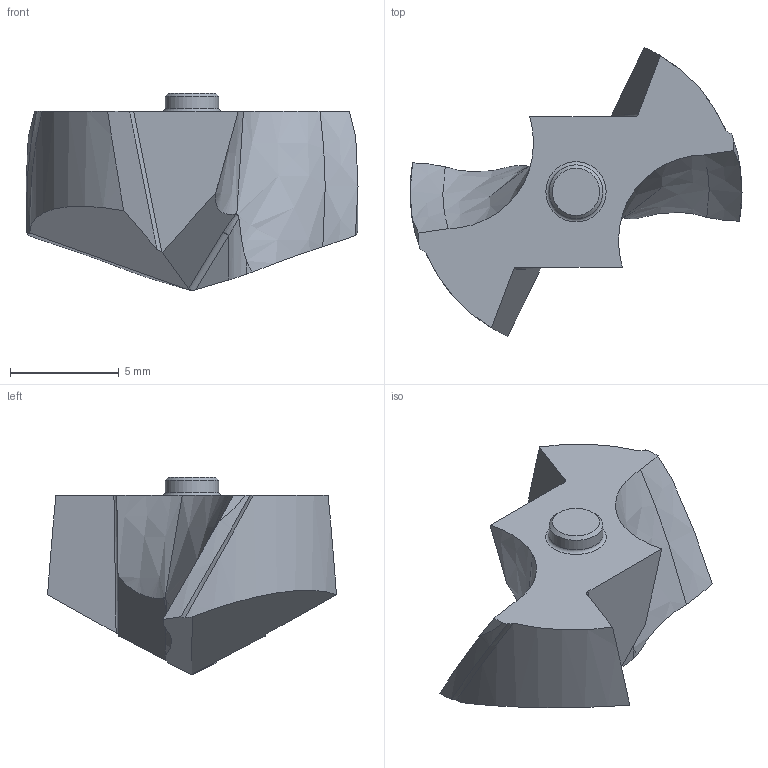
import math

import cadquery as cq


cutting_radius = 7.65
relief_radius = 7.28
relief_offset = 0.20
body_depth = 8.28
overshoot = 1.0
cutter_size = 40.0
core_half_width = 3.467

helix_angle = 30.0
twist_per_mm = math.degrees(math.tan(math.radians(helix_angle)) / cutting_radius)

pin_radius = 1.24
pin_height = 0.84
pin_chamfer = 0.15
pin_fillet = 0.15

point_slope = math.tan(math.radians(19.7))
primary_relief_slope = math.tan(math.radians(6.0))
secondary_relief_slope = 0.386

rake_lip_end = (9.0, 2.40)
rake_lip_middle = (7.25, 1.90)
rake_turn = (5.90, 1.70)
flute_shoulder = (3.25, 0.67)
flute_blend = (2.37, -0.45)
flute_core = (1.96, -2.36)
flute_corner = (2.13, -core_half_width)
flute_tail = (2.60, -4.60)

margin_start_angle = 8.0
margin_end_angle = 20.4
margin_step_angle = 22.6
margin_hollow_radius = 7.52
margin_root_radius = 7.44

corner_x = 7.25
corner_slope = 0.25

core_taper = math.radians(0.9)
heel_root = (-2.83, -core_half_width, 0.0)
heel_outer_top = (-3.89, -6.27, 0.0)
heel_outer_bottom = (-3.16, -6.67, -4.56)
heel_fillet = 0.2

gash_normal = (0.62, -0.53, -0.57)
gash_corner = (1.08, -3.33, -3.86)
gash_rake_start = (0.10, -0.05)
gash_rake_end = (1.70, -1.00)
gash_round_radius = 1.6
gash_outer_x = 4.0
gash_inner_reach = 6.0
gash_side_y = -10.0
gash_fillet = 0.25
gash_root = (0.80, -0.45, -7.0)


def half_space(point, normal):
    """Block filling the side of a plane its normal points to."""
    plane = cq.Plane(origin=point, normal=normal)
    return cq.Workplane(plane).rect(cutter_size, cutter_size).extrude(cutter_size)


def half_turn(shape):
    return shape.rotate((0, 0, 0), (0, 0, 1), 180)


def polar(radius, angle):
    a = math.radians(angle)
    return (radius * math.cos(a), radius * math.sin(a))


def cross(a, b):
    return (
        a[1] * b[2] - a[2] * b[1],
        a[2] * b[0] - a[0] * b[2],
        a[0] * b[1] - a[1] * b[0],
    )


def difference(a, b):
    return tuple(p - q for p, q in zip(a, b))


def helical(outline, top):
    """Twist an outline, given on Z = 0, from below the point up to Z = top."""
    below = body_depth + overshoot
    length = below + top
    solid = outline.twistExtrude(length, twist_per_mm * length)
    start_angle = -twist_per_mm * below
    return solid.rotate((0, 0, 0), (0, 0, 1), start_angle).translate((0, 0, -below))


def make_margin():
    """Helical sector reaching the cutting radius, with a hollow step behind it."""
    step_start = polar(cutting_radius, margin_end_angle)
    step_middle = polar(margin_hollow_radius, (margin_end_angle + margin_step_angle) / 2)
    step_end = polar(margin_root_radius, margin_step_angle)
    outline = (
        cq.Workplane("XY")
        .lineTo(*polar(cutting_radius, margin_start_angle))
        .threePointArc(
            polar(cutting_radius, (margin_start_angle + margin_end_angle) / 2), step_start
        )
        .threePointArc(step_middle, step_end)
        .close()
    )
    return helical(outline, 0)


def make_flute():
    """Cutter for the helical flute in front of the +X wing."""
    outline = (
        cq.Workplane("XY")
        .moveTo(*rake_lip_end)
        .threePointArc(rake_lip_middle, rake_turn)
        .threePointArc(flute_shoulder, flute_blend)
        .threePointArc(flute_core, flute_corner)
        .lineTo(*flute_tail)
        .lineTo(rake_lip_end[0], flute_tail[1])
        .close()
    )
    return helical(outline, overshoot)


def make_notch():
    """Cutter between the tapered core flat and the flat heel of the -X wing."""
    heel_normal = cross(
        difference(heel_outer_top, heel_root), difference(heel_outer_bottom, heel_root)
    )
    notch = half_space(heel_root, heel_normal).intersect(
        half_space(heel_root, (0, -math.cos(core_taper), -math.sin(core_taper)))
    )
    return notch.edges(cq.NearestToPointSelector(heel_root)).fillet(heel_fillet)


def make_gash():
    """Cutter with a sloping floor and an upright rake wall rounded into the flute."""
    run = difference(gash_rake_end, gash_rake_start)
    turn = math.atan2(-run[1], run[0])
    round_end = (
        gash_rake_end[0] + gash_round_radius * math.sin(turn),
        gash_rake_end[1] - gash_round_radius * (1 - math.cos(turn)),
    )
    far = (
        gash_rake_start[0] - gash_inner_reach,
        gash_rake_start[1] + gash_inner_reach * math.tan(turn),
    )
    prism = (
        cq.Workplane("XY")
        .moveTo(*far)
        .lineTo(*gash_rake_end)
        .tangentArcPoint(round_end, relative=False)
        .lineTo(gash_outer_x, round_end[1])
        .lineTo(gash_outer_x, gash_side_y)
        .lineTo(far[0], gash_side_y)
        .close()
        .extrude(-body_depth - overshoot)
    )
    gash = prism.intersect(half_space(gash_corner, gash_normal))
    return gash.edges(cq.NearestToPointSelector(gash_root)).fillet(gash_fillet)


def make_pin():
    """Locating pin with a chamfered end and a filleted foot."""
    return (
        cq.Workplane("XZ")
        .lineTo(pin_radius + pin_fillet, 0)
        .radiusArc((pin_radius, pin_fillet), pin_fillet)
        .lineTo(pin_radius, pin_height - pin_chamfer)
        .lineTo(pin_radius - pin_chamfer, pin_height)
        .lineTo(0, pin_height)
        .close()
        .revolve(360, (0, 0, 0), (0, 1, 0))
    )


land = (
    cq.Workplane("XY")
    .center(relief_offset, 0)
    .circle(relief_radius)
    .extrude(-body_depth - overshoot)
)
wing = land.union(make_margin())
body = wing.union(half_turn(wing))

point = (0, 0, -body_depth)
cutters = [
    half_space(point, (point_slope, primary_relief_slope, -1)),
    half_space(point, (point_slope, secondary_relief_slope, -1)),
    make_flute(),
    make_notch(),
    make_gash(),
    half_space((corner_x, 0, 0), (1, 0, corner_slope)),
]
for cutter in cutters:
    body = body.cut(cutter).cut(half_turn(cutter))

result = body.union(make_pin())